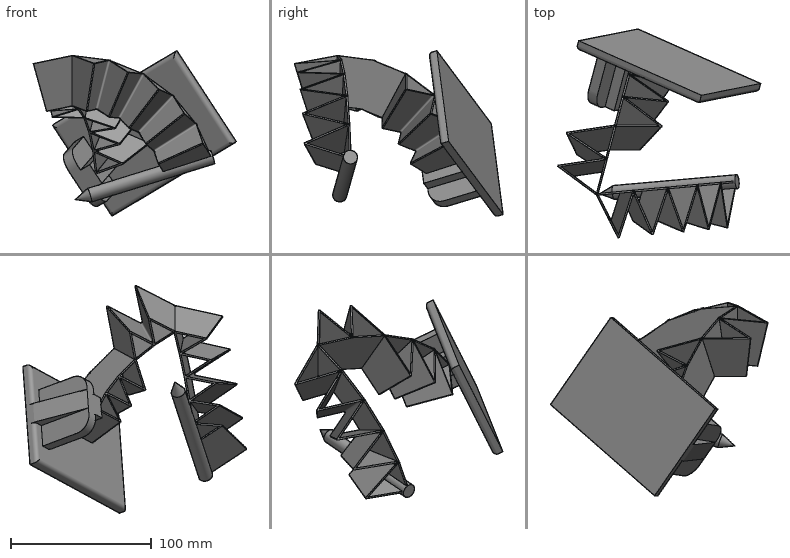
import cadquery as cq
import math

APEX = cq.Vector(-44.36, -43.45, -49.57)
INNER_RADIUS = 68.6
OUTER_RADIUS = 104.42
CREASE_STEP = 14.46
RIDGE_TILT = 17.63
CELLS = 5
SHEET = 1.25
RIDGE_CUT_HEIGHT = 0.5
VALLEY_RADIUS = 0.93
PEN_FAN_HEADING = 5.21
PLATE_FAN_HEADING = 75.13
PEN_FAN_SIDES = [1] * CELLS
PLATE_FAN_SIDES = [-1, -1, 1, 1, 1]
CLEARANCE = 1.0
RIDGE_CUTTER_SIZE = 20.0

PEN_DIAMETER = 10.12
PEN_LENGTH = 102.76
PEN_POINT_LENGTH = 10.96
PEN_TIP_RADIUS = 2.29
PEN_TILT = 72.85
PEN_HEADING = 5.01
PEN_SHIFT = -0.32
PEN_DROP = -1.27

PLATE_TILT = 73.7
PLATE_HEADING = 75.2
PLATE_LENGTH = 108.83
PLATE_WIDTH = 77.61
PLATE_THICKNESS = 6.77
PLATE_FILLET = 2.97
PLATE_ROLL = 29.89
PLATE_OUTER_DISTANCE = 113.91
PLATE_CENTRE_X = 31.63
PLATE_CENTRE_Y = 3.05

TONGUE_START = 8.05
TONGUE_THICKNESS = 8.04
TONGUE_WIDTH = 44.61
TONGUE_SHIFT = -1.35
TONGUE_REACH = 48.3
TONGUE_CORNER = 11.4
GUSSET_WIDTH = 14.84
SPINE_THICKNESS = 8.11
SPINE_WIDTH = 15.88
SPINE_SHIFT = -1.75


def direction(heading, tilt):
    """Unit vector at a tilt from +Z toward a heading measured from +X."""
    h = math.radians(heading)
    t = math.radians(tilt)
    return cq.Vector(math.sin(t) * math.cos(h), math.sin(t) * math.sin(h), math.cos(t))


def fan_normal(heading):
    """Horizontal unit vector square to the upright plane at a heading."""
    h = math.radians(heading)
    return cq.Vector(math.sin(h), -math.cos(h), 0)


def polyhedron(bottom, top):
    """Solid between two matching polygons whose side faces are flat."""
    count = len(bottom)
    loops = [bottom, top]
    for k in range(count):
        n = (k + 1) % count
        loops.append([bottom[k], bottom[n], top[n], top[k]])
    faces = [cq.Face.makeFromWires(cq.Wire.makePolygon(loop, close=True)) for loop in loops]
    return cq.Solid.makeSolid(cq.Shell.makeShell(faces))


def pyramid_slice(rays, inset, near, far):
    """Slice of the triangular pyramid on three rays, with every side moved inward by inset.
    Its end planes cross the rays at the near and far radii."""
    middle = (rays[0] + rays[1] + rays[2]).normalized()
    normals = []
    for k in range(3):
        normal = rays[k].cross(rays[(k + 1) % 3]).normalized()
        normals.append(normal if normal.dot(middle) > 0 else normal * -1)
    n0, n1, n2 = normals
    volume = n0.dot(n1.cross(n2))
    shift = (n1.cross(n2) + n2.cross(n0) + n0.cross(n1)) * (inset / volume)
    square = (rays[1] - rays[0]).cross(rays[2] - rays[0])
    ends = []
    for radius in (near, far):
        reach = [(rays[0] * radius - shift).dot(square) / ray.dot(square) for ray in rays]
        ends.append([APEX + shift + ray * length for ray, length in zip(rays, reach)])
    return polyhedron(*ends)


def cell_rays(heading, index, side):
    """Two base creases and the ridge of one cell."""
    first = direction(heading, index * CREASE_STEP)
    second = direction(heading, (index + 1) * CREASE_STEP)
    lift = math.radians(RIDGE_TILT)
    base = direction(heading, (index + 0.5) * CREASE_STEP)
    ridge = base * math.cos(lift) + fan_normal(heading) * (side * math.sin(lift))
    return [first, second, ridge]


def ridge_cutter(heading, rays, side):
    """Box along the ridge that blunts its sharp outer edge."""
    ridge = rays[2]
    across = (rays[1] - rays[0]).normalized()
    outward = ridge.cross(across)
    if outward.dot(fan_normal(heading)) * side < 0:
        outward = outward * -1
    centre = APEX + outward * (RIDGE_CUT_HEIGHT + RIDGE_CUTTER_SIZE / 2)
    plane = cq.Plane(origin=centre, xDir=across, normal=ridge)
    box = cq.Workplane(plane).rect(RIDGE_CUTTER_SIZE, RIDGE_CUTTER_SIZE).extrude(2 * OUTER_RADIUS)
    return box.val()


def cell(heading, index, side):
    """Folded tube: three sheet walls around a tapered opening, with a blunted ridge."""
    rays = cell_rays(heading, index, side)
    outer = pyramid_slice(rays, -SHEET / 2, INNER_RADIUS, OUTER_RADIUS)
    opening = pyramid_slice(rays, SHEET / 2, INNER_RADIUS - CLEARANCE, OUTER_RADIUS + CLEARANCE)
    return outer.cut(ridge_cutter(heading, rays, side)).cut(opening)


def corner_fillet(start, axis, first_wall, second_wall, wall_depth, radius, length):
    """Concave rounding between two flat walls that leave a common line along axis.
    The wall faces stand wall_depth in front of the walls' middle planes."""
    u = (first_wall - axis * first_wall.dot(axis)).normalized()
    v = (second_wall - axis * second_wall.dot(axis)).normalized()
    middle = (u + v).normalized()
    half = u.getAngle(v) / 2
    vertex = start + middle * (wall_depth / math.sin(half))
    reach = radius / math.tan(half)
    profile = [start, vertex + u * reach, vertex + v * reach]
    face = cq.Face.makeFromWires(cq.Wire.makePolygon(profile, close=True))
    wedge = cq.Solid.extrudeLinear(face, axis * length)
    centre = vertex + middle * (radius / math.sin(half))
    return wedge.cut(cq.Solid.makeCylinder(radius, length, centre, axis))


def valley_fillet(heading, index, side):
    """Rounding in the valley between cell index - 1 and cell index."""
    before = cell_rays(heading, index - 1, side)
    after = cell_rays(heading, index, side)
    crease = after[0]
    return corner_fillet(
        APEX + crease * INNER_RADIUS,
        crease,
        before[2],
        after[2],
        SHEET / 2,
        VALLEY_RADIUS,
        OUTER_RADIUS - INNER_RADIUS,
    )


def fan(heading, sides):
    """All cells of one fan and the roundings between neighbours on the same side."""
    pieces = [cell(heading, index, side) for index, side in enumerate(sides)]
    for index in range(1, CELLS):
        if sides[index - 1] == sides[index]:
            pieces.append(valley_fillet(heading, index, sides[index]))
    return pieces


def pen():
    """Round pen with a conical point, lying along the last crease of its fan."""
    axis = direction(PEN_HEADING, PEN_TILT)
    sideways = fan_normal(PEN_HEADING) * PEN_SHIFT
    downward = direction(PEN_HEADING, PEN_TILT + 90) * PEN_DROP
    tip = APEX + axis * PEN_TIP_RADIUS + sideways + downward
    radius = PEN_DIAMETER / 2
    point = cq.Solid.makeCone(0, radius, PEN_POINT_LENGTH, tip, axis)
    barrel_start = tip + axis * PEN_POINT_LENGTH
    barrel = cq.Solid.makeCylinder(radius, PEN_LENGTH - PEN_POINT_LENGTH, barrel_start, axis)
    return point.fuse(barrel)


def plate_plane():
    """Plane on the plate's outer face: X along the plate, Z pointing back to the apex."""
    axis = direction(PLATE_HEADING, PLATE_TILT)
    roll = math.radians(PLATE_ROLL)
    down = direction(PLATE_HEADING, PLATE_TILT + 90)
    along = fan_normal(PLATE_HEADING) * math.cos(roll) - down * math.sin(roll)
    across = along.cross(axis)
    centre = APEX + axis * PLATE_OUTER_DISTANCE + along * PLATE_CENTRE_X + across * PLATE_CENTRE_Y
    return cq.Plane(origin=centre, xDir=along, normal=axis * -1)


def plate(base):
    """Rectangular plate with its inner rim rounded."""
    inner_face = cq.selectors.DirectionMinMaxSelector(base.zDir, True)
    block = cq.Workplane(base).rect(PLATE_LENGTH, PLATE_WIDTH).extrude(PLATE_THICKNESS)
    return block.faces(inner_face).edges().fillet(PLATE_FILLET)


def handle(base):
    """Tongue with rounded corners, braced by a gusset and joined to the fan by a spine."""
    end = -PLATE_LENGTH / 2
    face = end + TONGUE_START
    back = face + TONGUE_THICKNESS
    tongue = (
        cq.Workplane(base)
        .center(face + TONGUE_THICKNESS / 2, TONGUE_SHIFT)
        .rect(TONGUE_THICKNESS, TONGUE_WIDTH)
        .extrude(TONGUE_REACH)
        .edges(cq.selectors.ParallelDirSelector(base.xDir))
        .edges(cq.selectors.DirectionMinMaxSelector(base.zDir, True))
        .fillet(TONGUE_CORNER)
    )
    gusset_origin = base.toWorldCoords((0, -GUSSET_WIDTH / 2, 0))
    gusset_plane = cq.Plane(origin=gusset_origin, xDir=base.xDir, normal=base.yDir)
    gusset_outline = [
        (end, 0),
        (end, -PLATE_THICKNESS),
        (face, -TONGUE_REACH),
        (back, -TONGUE_REACH),
        (back, 0),
    ]
    gusset = cq.Workplane(gusset_plane).polyline(gusset_outline).close().extrude(GUSSET_WIDTH)
    spine = (
        cq.Workplane(base)
        .center(back + SPINE_THICKNESS / 2, SPINE_SHIFT)
        .rect(SPINE_THICKNESS, SPINE_WIDTH)
        .extrude(TONGUE_REACH)
    )
    return tongue.union(gusset).union(spine)


plate_base = plate_plane()
result = plate(plate_base).union(handle(plate_base))
for piece in fan(PEN_FAN_HEADING, PEN_FAN_SIDES) + fan(PLATE_FAN_HEADING, PLATE_FAN_SIDES):
    result = result.union(cq.Workplane(piece))
result = result.union(cq.Workplane(pen()))